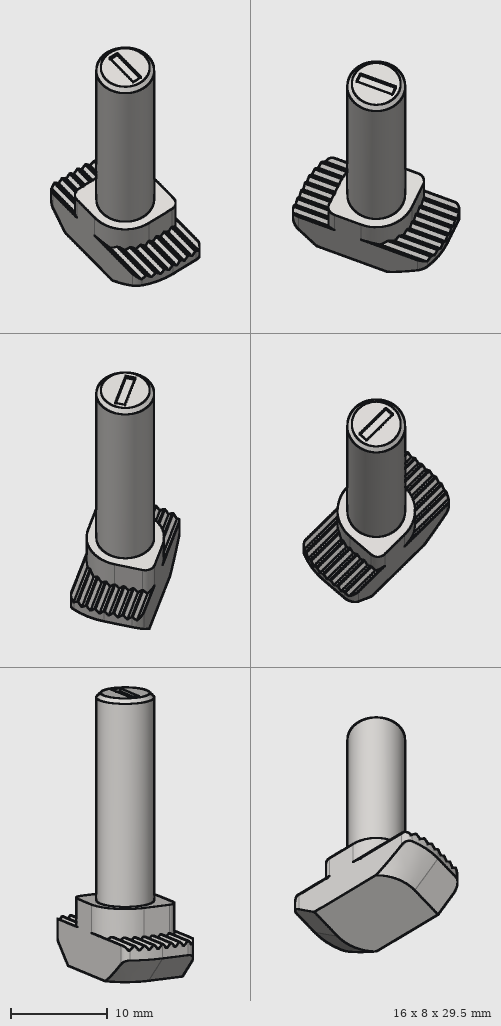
import cadquery as cq
import math

total_height = 29.5
head_length = 16.0
head_width = 8.0

head_height = 4.5
head_rim_height = 1.5
corner_radius = 1.0

groove_count = 8
groove_depth = 0.47
crest_width = 0.12

collar_height = 3.0

shank_diameter = 6.0
shank_chamfer = 0.47
slot_length = 4.0
slot_width = 1.03
slot_depth = 0.32

half_width = head_width / 2
end_radius = head_length / 2
taper_height = head_height - head_rim_height
base_radius = end_radius - taper_height
selection_margin = 0.3


def twist_lock_prism(radius, height):
    """Prism with two square corners and two corners rounded about the axis."""
    edge_x = math.sqrt(radius**2 - half_width**2)
    mid_angle = math.asin(half_width / radius) / 2
    mid_x = radius * math.cos(mid_angle)
    mid_y = radius * math.sin(mid_angle)
    outline = (
        cq.Workplane("XY")
        .moveTo(-radius, 0)
        .lineTo(-radius, -half_width)
        .lineTo(edge_x, -half_width)
        .threePointArc((mid_x, -mid_y), (radius, 0))
        .lineTo(radius, half_width)
        .lineTo(-edge_x, half_width)
        .threePointArc((-mid_x, mid_y), (-radius, 0))
        .close()
    )
    return outline.extrude(height)


def square_corners():
    """Selects the vertical edges at the two square corners of the collar."""
    inner = half_width - selection_margin
    outer = half_width + selection_margin
    corner_box = cq.selectors.BoxSelector
    return (
        corner_box((-outer, -outer, 0), (-inner, -inner, total_height))
        + corner_box((inner, inner, 0), (outer, outer, total_height))
    )


def tapered_body():
    """Head ends: flat slopes in two quarters, conical slopes in the other two."""
    profile = [
        (0, 0),
        (base_radius, 0),
        (end_radius, taper_height),
        (end_radius, head_height),
        (0, head_height),
    ]
    body = cq.Workplane("XZ").polyline(profile).close().revolve(360, (0, 0), (0, 1))
    for side in (1, -1):
        wedge = cq.Workplane("XZ").polyline([(side * x, z) for x, z in profile]).close()
        body = body.union(wedge.extrude(-side * half_width))
    return body


def make_head():
    blank = twist_lock_prism(end_radius, head_height).edges("|Z").edges(">Y or <Y")
    blank = blank.fillet(corner_radius)
    return blank.intersect(tapered_body())


def cut_serrations(head):
    pitch = head_width / groove_count
    half_groove = (pitch - crest_width) / 2
    for index in range(groove_count):
        center = -half_width + (index + 0.5) * pitch
        groove = (
            cq.Workplane("YZ", origin=(-head_length, 0, 0))
            .moveTo(center - half_groove, head_height)
            .lineTo(center, head_height - groove_depth)
            .lineTo(center + half_groove, head_height)
            .close()
            .extrude(2 * head_length)
        )
        head = head.cut(groove)
    return head


def make_collar():
    collar = twist_lock_prism(half_width, collar_height + groove_depth)
    collar = collar.edges("|Z").edges(square_corners()).fillet(corner_radius)
    return collar.translate((0, 0, head_height - groove_depth))


def make_shank():
    shank_base = head_height + collar_height
    shank = (
        cq.Workplane("XY", origin=(0, 0, shank_base))
        .circle(shank_diameter / 2)
        .extrude(total_height - shank_base)
        .faces(">Z")
        .chamfer(shank_chamfer)
    )
    return shank.faces(">Z").workplane().rect(slot_length, slot_width).cutBlind(-slot_depth)


result = cut_serrations(make_head()).union(make_collar()).union(make_shank())